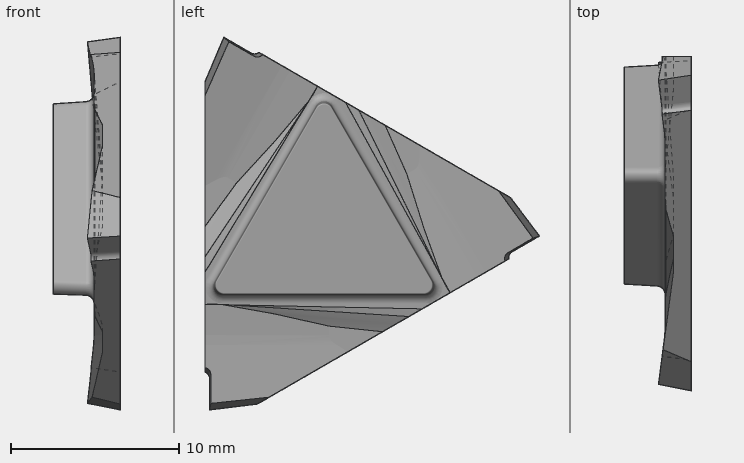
import cadquery as cq
import math


corners = 3
corner_pitch = 360 / corners
flank_distance = 7.09
plate_height = 2.0

tip_back = (6.82, -10.83)
tip_front = (6.73, -10.43)
end_angle = 7.0
step_back_z = -8.57
step_front_z = -8.28
step_length = 0.4

base_height = 1.57
pocket_height = 1.06
ramp_angle = 6.4
ramp_start_z = -6.7
ramp_blend_length = 0.29
floor_fall = 0.069
floor_inner_z = -3.32
floor_outer_z = -12.18
floor_length = 21.05
floor_overrun = 0.22

mesa_top_distance = 4.7
mesa_top_twist = 1.2
mesa_shoulder_height = 1.5
mesa_shoulder_distance = 4.95
mesa_shoulder_twist = 3.7
mesa_foot_distance = 5.78
mesa_foot_twist = 6.0

boss_height = 4.0
boss_base_distance = 4.03
boss_draft = 1.9
boss_corner_radius = 0.53
boss_rim_fillet = 0.07
boss_root_fillet = 0.49


def turned(point, degrees):
    """Rotate a (Y, Z) point about the X axis."""
    angle = math.radians(degrees)
    y, z = point
    return (
        y * math.cos(angle) - z * math.sin(angle),
        y * math.sin(angle) + z * math.cos(angle),
    )


def end_face_start(tip):
    """Point where the end face through the tip leaves the neighbouring flank."""
    slope = math.tan(math.radians(end_angle))
    normal_y, normal_z = turned((flank_distance, 0), -corner_pitch)
    gap = flank_distance ** 2 - normal_y * tip[0] - normal_z * tip[1]
    travel = gap / (slope * normal_z - normal_y)
    return (tip[0] - travel, tip[1] + slope * travel)


def plate_outline(workplane, tip, step_z):
    """Three cutting corners joined by straight flanks."""
    land_start = (tip[0], step_z - step_length)
    step_end = (flank_distance, step_z)
    outline = workplane.moveTo(*end_face_start(tip))
    for index in range(corners):
        angle = index * corner_pitch
        if index:
            outline = outline.lineTo(*turned(end_face_start(tip), angle))
        outline = (
            outline.lineTo(*turned(tip, angle))
            .lineTo(*turned(land_start, angle))
            .tangentArcPoint(turned(step_end, angle), relative=False)
        )
    return outline.close()


def triangle(distance, twist=0.0):
    """Corners of a triangle whose sides lie at the given distance; one side faces -Z."""
    return [turned((0, 2 * distance), twist + index * corner_pitch) for index in range(corners)]


def make_plate():
    """Plate whose cutting corners lean back toward the axis as they rise."""
    back = plate_outline(cq.Workplane("YZ"), tip_back, step_back_z)
    both = plate_outline(back.workplane(offset=-plate_height), tip_front, step_front_z)
    return both.loft(ruled=True)


def make_mesa():
    """Stacked twisted triangles, from the pocket floor up to the level round the boss."""
    sections = [
        (pocket_height, mesa_foot_distance, mesa_foot_twist),
        (mesa_shoulder_height, mesa_shoulder_distance, mesa_shoulder_twist),
        (base_height, mesa_top_distance, mesa_top_twist),
    ]
    mesa = cq.Workplane("YZ")
    level = 0
    for height, distance, twist in sections:
        mesa = mesa.workplane(offset=level - height).polyline(triangle(distance, twist)).close()
        level = height
    return mesa.loft(ruled=True)


def make_boss():
    """Drafted triangular boss with rounded corners and rim."""
    height = boss_height - base_height
    boss = (
        cq.Workplane("YZ", origin=(-base_height, 0, 0))
        .polyline(triangle(boss_base_distance))
        .close()
        .extrude(-height, taper=boss_draft)
    )
    boss = boss.edges("not #X").fillet(boss_corner_radius)
    return boss.faces("<X").edges().fillet(boss_rim_fillet)


def make_ramp_floor():
    """Floor beside one cutting edge: level by the boss, rising outward, falling along -Y."""
    rise = math.tan(math.radians(ramp_angle))
    ramp_end_z = ramp_start_z - ramp_blend_length
    outer_height = base_height + rise * (ramp_start_z - floor_outer_z)
    section = (
        cq.Workplane("XZ", origin=(-floor_fall * floor_overrun, flank_distance + floor_overrun, 0))
        .moveTo(0, floor_inner_z)
        .lineTo(-base_height, floor_inner_z)
        .lineTo(-base_height, ramp_start_z + ramp_blend_length)
        .tangentArcPoint((-base_height - rise * ramp_blend_length, ramp_end_z), relative=False)
        .lineTo(-outer_height, floor_outer_z)
        .lineTo(0, floor_outer_z)
        .close()
    )
    along = cq.Vector(floor_fall * floor_length, -floor_length, 0)
    return cq.Workplane(cq.Solid.extrudeLinear(section.val(), [], along))


def make_centre():
    """Mesa and boss, with a fillet round the root of the boss."""
    body = make_mesa().union(make_boss())
    mesa_top_centre = (-base_height, 0, 0)
    mesa_top = body.faces(cq.NearestToPointSelector(mesa_top_centre)).val()
    root_edges = mesa_top.innerWires()[0].Edges()
    return body.newObject(root_edges).fillet(boss_root_fillet)


plate = make_plate()
blank = cq.Workplane("YZ").circle(2 * flank_distance).extrude(-pocket_height)
ramp_floor = make_ramp_floor()
for index in range(corners):
    blank = blank.union(ramp_floor.rotate((0, 0, 0), (1, 0, 0), index * corner_pitch))
material = blank.union(make_centre())
above_plate = cq.Workplane("YZ", origin=(-plate_height, 0, 0)).circle(2 * boss_base_distance)
above_plate = above_plate.extrude(plate_height - boss_height)
result = material.intersect(plate.union(above_plate))